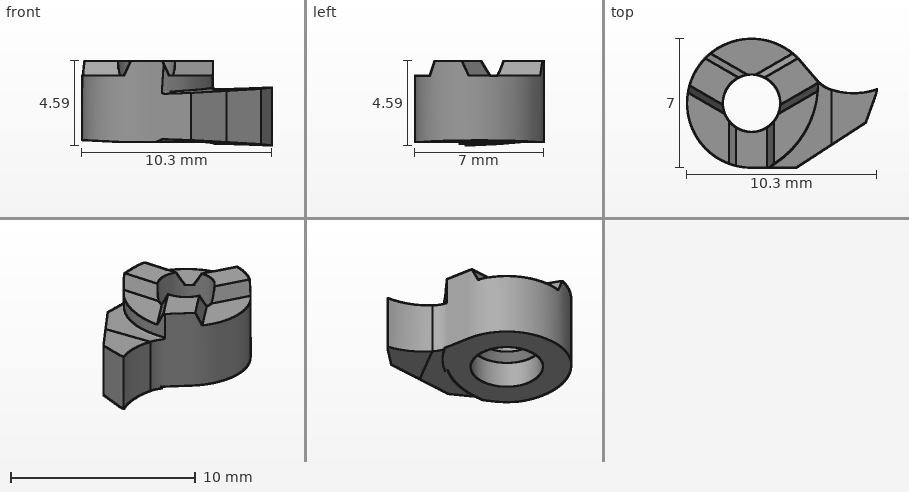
import cadquery as cq
import math


hub_radius = 3.5
hub_bottom = -4.4
hole_radius = 1.55
seat_top = -2.4
seat_width = 0.44
seat_land_height = 0.14
seat_land_taper = 0.03
relief_start_x = -1.45
relief_angle = 2.8

lug_height = 0.8
lug_top_width = 1.7
lug_flank_angle = 25
lug_directions = (30, 150, 270)

flank_angle = 40.6
root_center_x = 4.77
root_radius = 1.6
rake_radius = 3.9
tip_point = (6.8, 0.76)
nose_heel = (6.74, 0.47)
clearance_heel = (6.19, -1.05)
flat_end_x = 2.42
split_x = 4.32

face_slope = math.tan(math.radians(2))
arm_top_at_axis = -1.70
arm_bottom_at_axis = -4.33

shoulder_radius = 5.13
shoulder_center = (-1.53, 1.0)
shoulder_lean = math.tan(math.radians(2))
shoulder_fillet = 0.1
under_shoulder_radius = 5.08
hub_face_radius = 5.24

reach = 12.0
clear_bottom = -6.0


def polar(center, radius, angle):
    """Point on a circle, angle in degrees."""
    turn = math.radians(angle)
    return (center[0] + radius * math.cos(turn), center[1] + radius * math.sin(turn))


def insert_blank():
    """Whole plan outline of hub and arm, taller than the finished part at the bottom."""
    flank_start = polar((0, 0), hub_radius, flank_angle)

    turn = math.radians(flank_angle)
    root_center_y = (hub_radius + root_radius - root_center_x * math.cos(turn)) / math.sin(turn)
    root_center = (root_center_x, root_center_y)
    root_start = polar(root_center, -root_radius, flank_angle)

    end_angle = -math.degrees(math.acos((split_x - root_center_x) / root_radius))
    start_angle = flank_angle - 180
    root_middle = polar(root_center, root_radius, (start_angle + end_angle) / 2)
    root_end = polar(root_center, root_radius, end_angle)

    chord_x = tip_point[0] - root_end[0]
    chord_y = tip_point[1] - root_end[1]
    sagitta = rake_radius - math.sqrt(rake_radius**2 - (chord_x**2 + chord_y**2) / 4)
    chord_angle = math.degrees(math.atan2(chord_y, chord_x))
    chord_middle = ((root_end[0] + tip_point[0]) / 2, (root_end[1] + tip_point[1]) / 2)
    rake_middle = polar(chord_middle, sagitta, chord_angle - 90)

    return (
        cq.Workplane("XY", origin=(0, 0, clear_bottom))
        .moveTo(*flank_start)
        .lineTo(*root_start)
        .threePointArc(root_middle, root_end)
        .threePointArc(rake_middle, tip_point)
        .lineTo(*nose_heel)
        .lineTo(*clearance_heel)
        .lineTo(flat_end_x, -hub_radius)
        .lineTo(0, -hub_radius)
        .threePointArc((-hub_radius, 0), flank_start)
        .close()
        .extrude(-clear_bottom)
    )


def sloped_half_space(height_at_axis, slope, upward):
    """Large block on one side of a plane that rises by the same slope along X and Y."""
    normal = cq.Vector(-slope, -slope, 1)
    plane = cq.Plane(origin=(0, 0, height_at_axis), xDir=(1, 0, slope), normal=normal)
    depth = reach if upward else -reach
    return cq.Workplane(plane).rect(3 * reach, 3 * reach).extrude(depth)


def shoulder_column():
    """Leaning cylinder whose wall is the shoulder above the arm."""
    plane = cq.Plane(origin=(*shoulder_center, 0), xDir=(1, 0, 0), normal=(0, -shoulder_lean, 1))
    return cq.Workplane(plane).circle(shoulder_radius).extrude(reach, both=True)


def under_shoulder_center():
    """Where the leaning shoulder axis meets the level of the hub bottom."""
    return (shoulder_center[0], shoulder_center[1] - hub_bottom * shoulder_lean)


def under_shoulder_cone():
    """Zone of the hub bottom: a 45 degree cone that narrows downward."""
    height = hub_bottom - clear_bottom
    bottom_radius = under_shoulder_radius - height
    cone = cq.Solid.makeCone(
        bottom_radius,
        bottom_radius + 2 * height,
        2 * height,
        pnt=cq.Vector(*under_shoulder_center(), clear_bottom),
    )
    return cq.Workplane(cone)


def above_arm():
    """Material to remove over the arm, with a fillet along the foot of the shoulder."""
    space = sloped_half_space(arm_top_at_axis, face_slope, True).cut(shoulder_column())
    foot = space.faces("<Z").edges("%CIRCLE or %ELLIPSE")
    return foot.fillet(shoulder_fillet)


def below_arm():
    """Material to remove under the arm, outside the hub bottom."""
    return sloped_half_space(arm_bottom_at_axis, -face_slope, False).cut(under_shoulder_cone())


def below_hub():
    """Material to remove under the hub: a level face and a sloping relief away from the arm."""
    column = (
        cq.Workplane("XY", origin=(*under_shoulder_center(), clear_bottom))
        .circle(hub_face_radius)
        .extrude(hub_bottom - clear_bottom)
    )
    relief_rise = reach * math.tan(math.radians(relief_angle))
    relief = (
        cq.Workplane("XZ")
        .moveTo(relief_start_x, hub_bottom)
        .lineTo(relief_start_x - reach, hub_bottom + relief_rise)
        .lineTo(relief_start_x - reach, clear_bottom)
        .lineTo(relief_start_x, clear_bottom)
        .close()
        .extrude(reach, both=True)
    )
    return column.union(relief)


def lug_bars():
    """Three radial bars with sloping flanks; the hub face is cut away between them."""
    half_top = lug_top_width / 2
    half_foot = half_top + lug_height * math.tan(math.radians(lug_flank_angle))
    bar = (
        cq.Workplane("YZ")
        .polyline([(-half_foot, -lug_height), (half_foot, -lug_height), (half_top, 0), (-half_top, 0)])
        .close()
        .extrude(reach)
    )
    bars = cq.Workplane("XY")
    for direction in lug_directions:
        bars = bars.union(bar.rotate((0, 0, 0), (0, 0, 1), direction))
    return bars


def between_lugs():
    """Material to remove between the lugs."""
    layer = cq.Workplane("XY", origin=(0, 0, -lug_height)).circle(reach).extrude(lug_height)
    return layer.cut(lug_bars())


def screw_hole():
    """Through hole that opens over a 45 degree seat and a short land into a counterbore below."""
    land_radius = hole_radius + seat_width
    land_top = seat_top - seat_width
    bore_radius = land_radius - seat_land_taper
    return (
        cq.Workplane("XZ")
        .moveTo(0, 0)
        .lineTo(hole_radius, 0)
        .lineTo(hole_radius, seat_top)
        .lineTo(land_radius, land_top)
        .lineTo(bore_radius, land_top - seat_land_height)
        .lineTo(bore_radius, clear_bottom)
        .lineTo(0, clear_bottom)
        .close()
        .revolve(360, (0, 0, 0), (0, 1, 0))
    )


def tip_zone():
    """Everything beyond the joint plane between arm root and tip."""
    return cq.Workplane("XY").box(reach, 2 * reach, 2 * reach).translate((split_x + reach / 2, 0, 0))


insert = insert_blank().cut(above_arm()).cut(below_arm()).cut(below_hub())
insert = insert.cut(between_lugs()).cut(screw_hole())

insert_body = insert.cut(tip_zone())
cutting_tip = insert.intersect(tip_zone())

result = cq.Compound.makeCompound([insert_body.val(), cutting_tip.val()])